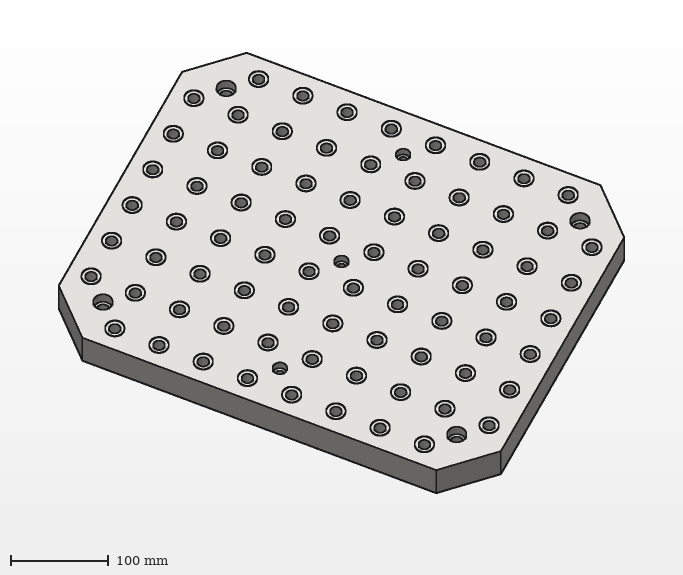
import cadquery as cq

length = 500.0
width = 400.0
thickness = 40.0
corner_cut = 50.0

pitch = 50.0
columns = round(length / pitch)
rows = round(width / pitch)
grid_bore = 12.0
grid_counterbore = 20.0
grid_counterbore_depth = 1.0

corner_bore = 13.5
corner_counterbore = 20.0
corner_counterbore_depth = 13.0
corner_x = length / 2 - pitch
corner_y = width / 2 - pitch

locating_bore = 9.0
locating_counterbore = 15.0
locating_counterbore_depth = 10.0


def grid_points():
    """Centres of the square grid, without the four points next to the cut corners."""
    points = []
    for column in range(columns):
        for row in range(rows):
            at_corner = column in (0, columns - 1) and row in (0, rows - 1)
            if not at_corner:
                x = (column - (columns - 1) / 2) * pitch
                y = (row - (rows - 1) / 2) * pitch
                points.append((x, y))
    return points


def stepped_holes(body, points, bore, counterbore, depth):
    """Through holes with a wider, flat-bottomed mouth in the top face."""
    top = cq.Workplane("XY").workplane(offset=thickness / 2)
    narrow = top.pushPoints(points).circle(bore / 2).extrude(-thickness)
    wide = top.pushPoints(points).circle(counterbore / 2).extrude(-depth)
    return body.cut(narrow).cut(wide)


plate = cq.Workplane("XY").box(length, width, thickness).edges("|Z").chamfer(corner_cut)

corner_points = [(x, y) for x in (-corner_x, corner_x) for y in (-corner_y, corner_y)]
locating_points = [(0, -corner_y), (0, 0), (0, corner_y)]

plate = stepped_holes(plate, grid_points(), grid_bore, grid_counterbore, grid_counterbore_depth)
plate = stepped_holes(plate, corner_points, corner_bore, corner_counterbore, corner_counterbore_depth)
plate = stepped_holes(
    plate, locating_points, locating_bore, locating_counterbore, locating_counterbore_depth
)

result = plate